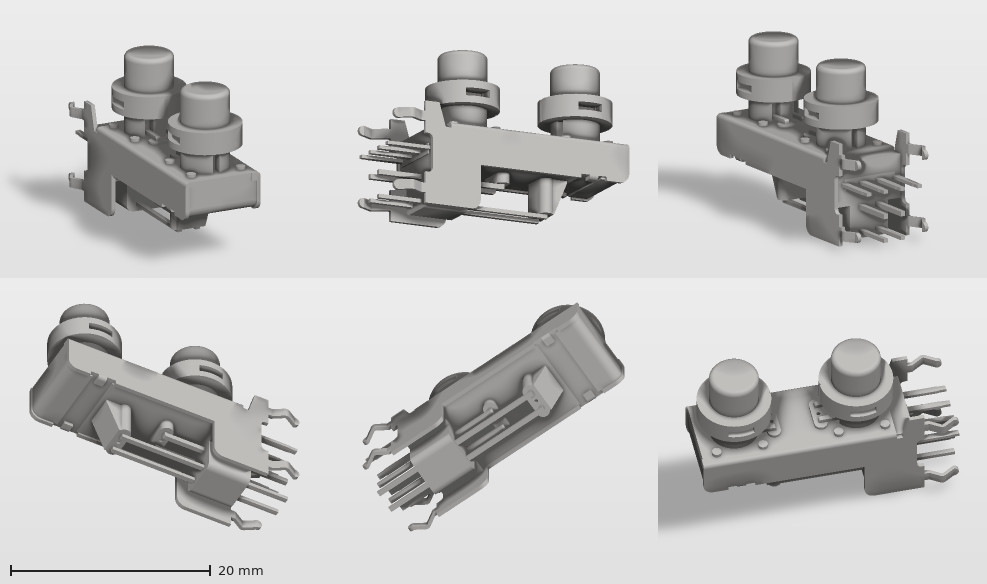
import cadquery as cq
import math


length = 26.38
bracket_half_width = 4.2
sheet = 0.42
inner_half_width = bracket_half_width - sheet
bracket_top = 8.7
sheet_underside = bracket_top - sheet
bend_radius = 0.4
sheet_start = 6.6
sheet_end = 26.27
corner_tab_inner_y = 3.2
plate_front = 3.75
plate_recess = 4.55
leg_back = 9.87
plate_bottom = 4.62
plate_corner = 1.0
recess_fillet = 0.5
recess_low = 3.25
recess_high = 7.25
ear_top = 10.58
ear_back = 5.28
ear_foot = 6.0
relief_floor = 8.1
window_start = 21.05
window_end = 23.87
window_top = 5.0
crimp_start = 22.03
crimp_end = 22.95
crimp_reach = 1.05
crimp_flat = 0.03

clip_height = 1.0
clip_bottoms = (1.05, 8.52)
clip_tip = 0.25
clip_peak = 2.0
clip_peak_y = 4.88
clip_slope = math.radians(32)
clip_peak_outer_radius = 0.55
clip_peak_inner_radius = 0.18

base_front = 4.72
base_top = 8.25
base_bottom = 4.83
base_recess_start = 21.2
base_recess_end = 23.45
head_bottom = 3.72
foot_half_width = 2.27
head_back = 9.45
foot_bottom = 0.225
foot_corner = 0.75
pad_front = 4.56
pad_half_width = 2.98
pad_low = 5.45
pad_high = 6.57

button_positions = (9.87, 22.37)
knob_radius = 2.5
knob_top = 16.95
knob_fillet = 0.5
collar_radius = 3.75
collar_low = 11.13
collar_high = 13.45
collar_window_length = 2.66
collar_window_low = 11.85
collar_window_high = 12.65
collar_window_back = 2.1
collar_window_lip = 0.15
collar_window_inner_depth = 0.26
key_slot_width = 0.7
key_slot_depth = 1.05
stem_rib_half_width = 0.7
stem_slot_outer = 1.48
stem_slot_floor = 1.5
rivet_radius = 0.47
rivet_top = 9.07
rivet_offset_x = 2.37
rivet_offset_y = 2.77

pitch = 2.0
guide_offset = 3.85
guide_length = 1.37
guide_half_width = 1.9
guide_top = 9.0
guide_bottoms = (3.8, 1.21)
guide_hole = 0.4
gusset_half_width = 1.58
gusset_top_end = 20.73
gusset_bottom_end = 19.28
lead_width = 0.5
lead_thickness = 0.42
lead_bend_radius = 0.2
lead_bottoms = (3.25, 0.8)
lead_pin_heights = (0.5, 0.4)

terminal_count = 4
terminal_middle = 6.05
terminal_height = 0.35
terminal_half_width = 0.32
terminal_tip_half_width = 0.26
terminal_tip = 0.69
terminal_shoulder = 0.95


def block(x_range, y_range, z_range):
    """Box spanning the given ranges."""
    (x0, x1), (y0, y1), (z0, z1) = x_range, y_range, z_range
    return cq.Workplane("XY").box(x1 - x0, y1 - y0, z1 - z0, centered=False).translate((x0, y0, z0))


def cylinder(radius, x, y, z_low, z_high):
    """Vertical cylinder."""
    return cq.Workplane("XY", origin=(x, y, z_low)).circle(radius).extrude(z_high - z_low)


def both_sides(shape):
    """Shape together with its mirror image across the mid plane."""
    return shape.union(shape.mirror("XZ"))


def side_plate():
    """Plate on the -Y side with its raised ear, front recess, rear leg and lower window."""
    outline = [
        (plate_front, 0),
        (leg_back, 0),
        (leg_back, plate_bottom),
        (window_start, plate_bottom),
        (window_start, window_top),
        (window_end, window_top),
        (window_end, plate_bottom),
        (length, plate_bottom),
        (length, sheet_underside),
        (sheet_start, sheet_underside),
        (sheet_start, relief_floor),
        (ear_foot, relief_floor),
        (ear_back, ear_top),
        (plate_front, ear_top),
        (plate_front, recess_high),
        (plate_recess, recess_high),
        (plate_recess, recess_low),
        (plate_front, recess_low),
    ]
    plate = (
        cq.Workplane("XZ", origin=(0, -inner_half_width, 0))
        .polyline(outline)
        .close()
        .extrude(sheet)
    )
    big_corners = ((leg_back, 0), (length, plate_bottom))
    small_corners = ((plate_recess, recess_high), (plate_recess, recess_low))
    for corners, radius in ((big_corners, plate_corner), (small_corners, recess_fillet)):
        for x, z in corners:
            nearest = cq.selectors.NearestToPointSelector((x, -bracket_half_width + sheet / 2, z))
            plate = plate.edges("|Y").edges(nearest).fillet(radius)
    return plate


def crimp():
    """Tab under the -Y plate, bent inward beneath the base."""
    tab = block(
        (crimp_start, crimp_end),
        (-bracket_half_width, -bracket_half_width + crimp_reach),
        (plate_bottom, window_top),
    )
    return tab.edges("<Y and <Z").fillet(window_top - plate_bottom - crimp_flat)


def clip(bottom):
    """Bent spring clip with a rounded tip, reaching forward from the -Y plate."""
    apex_y = clip_peak_y + clip_peak_outer_radius * (1 / math.cos(clip_slope) - 1)
    half_run = (apex_y - bracket_half_width) / math.tan(clip_slope)
    outer = [
        (clip_tip, bracket_half_width),
        (clip_peak - half_run, bracket_half_width),
        (clip_peak, apex_y),
        (clip_peak + half_run, bracket_half_width),
        (plate_front, bracket_half_width),
    ]
    strip = [(x, -y) for x, y in outer] + [(x, sheet - y) for x, y in reversed(outer)]
    bent = cq.Workplane("XY", origin=(0, 0, bottom)).polyline(strip).close().extrude(clip_height)
    for y, fillet in ((apex_y, clip_peak_outer_radius), (apex_y - sheet, clip_peak_inner_radius)):
        nearest = cq.selectors.NearestToPointSelector((clip_peak, -y, bottom + clip_height / 2))
        bent = bent.edges("|Z").edges(nearest).fillet(fillet)
    radius = clip_height / 2
    middle = bottom + radius
    side_outline = (
        cq.Workplane("XZ")
        .moveTo(plate_front, bottom)
        .lineTo(clip_tip + radius, bottom)
        .threePointArc((clip_tip, middle), (clip_tip + radius, bottom + clip_height))
        .lineTo(plate_front, bottom + clip_height)
        .close()
        .extrude(clip_peak_y + sheet)
    )
    return bent.intersect(side_outline)


def bracket():
    """Bent sheet: top, two side plates, clips and crimp tabs."""
    top = block(
        (sheet_start, length),
        (-bracket_half_width, bracket_half_width),
        (sheet_underside - sheet, bracket_top),
    )
    top = top.edges("|X and >Z").fillet(bend_radius)
    end_gap = block(
        (sheet_end, length),
        (-inner_half_width, corner_tab_inner_y),
        (sheet_underside - sheet, bracket_top),
    )
    sides = side_plate().union(crimp())
    for bottom in clip_bottoms:
        sides = sides.union(clip(bottom))
    return top.cut(end_gap).union(both_sides(sides))


def base():
    """Plastic base: flat body below the sheet, front head, narrow foot and terminal pad."""
    full_width = (-inner_half_width, inner_half_width)
    body = block((base_front, sheet_end), full_width, (base_bottom, base_top))
    body = body.edges("|Y and >X and <Z").fillet(plate_corner)
    body = body.cut(block((base_recess_start, base_recess_end), full_width, (base_bottom, window_top)))
    head = block((base_front, head_back), full_width, (head_bottom, base_top))
    foot = block(
        (base_front, head_back),
        (-foot_half_width, foot_half_width),
        (foot_bottom, base_top),
    )
    foot = foot.edges("|X and <Z").fillet(foot_corner)
    pad = block((pad_front, base_front), (-pad_half_width, pad_half_width), (pad_low, pad_high))
    return body.union(head).union(foot).union(pad)


def collar_window():
    """Stepped pocket in the -Y side of a collar centred on the origin."""
    half_length = collar_window_length / 2
    outer = block(
        (-half_length, half_length),
        (-collar_radius, -collar_window_back),
        (collar_window_low, collar_window_high),
    )
    inner_half_length = half_length - collar_window_lip
    inner = block(
        (-inner_half_length, inner_half_length),
        (-collar_window_back, -collar_window_back + collar_window_inner_depth),
        (collar_window_low + collar_window_lip, collar_window_high),
    )
    return outer.union(inner)


def button():
    """Push button on the Z axis with its rivets; the lead slots face +X."""
    knob = cylinder(knob_radius, 0, 0, collar_high, knob_top).faces(">Z").edges().fillet(knob_fillet)
    collar = cylinder(collar_radius, 0, 0, collar_low, collar_high).cut(both_sides(collar_window()))
    stem_height = (bracket_top, collar_low)
    stem = cylinder(knob_radius, 0, 0, sheet_underside, collar_low)
    key_slot = block(
        (-knob_radius, -knob_radius + key_slot_depth),
        (-key_slot_width / 2, key_slot_width / 2),
        stem_height,
    )
    lead_slot = block(
        (stem_slot_floor, knob_radius),
        (-stem_slot_outer, -stem_rib_half_width),
        stem_height,
    )
    shape = knob.union(collar).union(stem.cut(key_slot).cut(both_sides(lead_slot)))
    for x in (-rivet_offset_x, rivet_offset_x):
        for y in (-rivet_offset_y, rivet_offset_y):
            shape = shape.union(cylinder(rivet_radius, x, y, sheet_underside, rivet_top))
    return shape


def lead_guide(x, bottom):
    """Rounded pillar through the bracket that carries one pair of leads."""
    return (
        cq.Workplane("XY", origin=(x, 0, bottom))
        .slot2D(2 * guide_half_width, guide_length, 90)
        .extrude(guide_top - bottom)
    )


def gusset(guide_x, bottom):
    """Sloped brace behind the deeper lead guide."""
    return (
        cq.Workplane("XZ", origin=(0, gusset_half_width, 0))
        .moveTo(guide_x, bottom)
        .lineTo(gusset_bottom_end, bottom)
        .lineTo(gusset_top_end, plate_bottom)
        .lineTo(gusset_top_end, base_top)
        .lineTo(guide_x, base_top)
        .close()
        .extrude(2 * gusset_half_width)
    )


def lead(button_x, guide_x, side, bottom, pin_height):
    """Bent lead on the -Y side: from the button, down the guide and out to the pin tip at X = 0."""
    lead_y = (-(pitch + lead_width) / 2, -(pitch - lead_width) / 2)
    drop_x = (guide_x - lead_thickness / 2, guide_x + lead_thickness / 2)
    arm_top = guide_top + lead_thickness
    stem_x = button_x + side * stem_slot_floor
    far_x = guide_x + side * lead_thickness / 2
    arm = block((min(stem_x, far_x), max(stem_x, far_x)), lead_y, (guide_top, arm_top))
    far_end = ">X" if side > 0 else "<X"
    arm = arm.edges(f"|Y and >Z and {far_end}").fillet(lead_bend_radius)
    drop = block(drop_x, lead_y, (bottom + pin_height, guide_top))
    pin = block((0, drop_x[1]), lead_y, (bottom, bottom + pin_height))
    if side > 0:
        pin = pin.edges("|Y and >X and <Z").fillet(lead_bend_radius)
    return arm.union(drop).union(pin)


def terminal(y):
    """Flat straight pin with a narrowed tip."""
    half_outline = [
        (0, terminal_tip_half_width),
        (terminal_tip, terminal_tip_half_width),
        (terminal_shoulder, terminal_half_width),
        (base_front, terminal_half_width),
    ]
    outline = half_outline + [(x, -half_y) for x, half_y in reversed(half_outline)]
    low = terminal_middle - terminal_height / 2
    return cq.Workplane("XY", origin=(0, y, low)).polyline(outline).close().extrude(terminal_height)


result = bracket().union(base())

for row in range(terminal_count):
    result = result.union(terminal((row - (terminal_count - 1) / 2) * pitch))

for index, side in enumerate((1, -1)):
    button_x = button_positions[index]
    guide_x = button_x + side * guide_offset
    guide_bottom = guide_bottoms[index]
    turn = 0 if side > 0 else 180
    placed_button = button().rotate((0, 0, 0), (0, 0, 1), turn).translate((button_x, 0, 0))
    result = result.union(placed_button).union(lead_guide(guide_x, guide_bottom))
    if side < 0:
        result = result.union(gusset(guide_x, guide_bottom))
    single_lead = lead(button_x, guide_x, side, lead_bottoms[index], lead_pin_heights[index])
    result = result.union(both_sides(single_lead))
    result = result.cut(cylinder(guide_hole / 2, guide_x, 0, 0, knob_top))